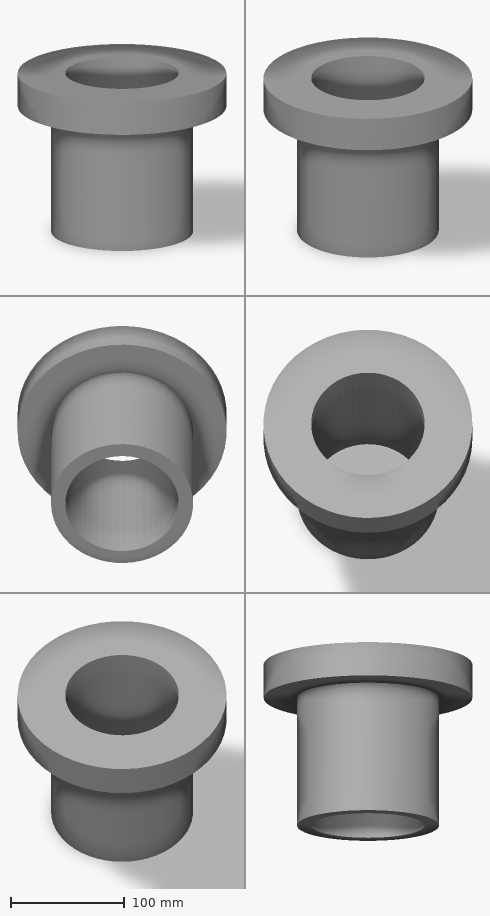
import cadquery as cq

flange_diameter = 184.0
flange_thickness = 30.0
sleeve_diameter = 125.1
bore_diameter = 100.0
total_height = 145.0

sleeve_length = total_height - flange_thickness

sleeve = cq.Workplane("XY").circle(sleeve_diameter / 2).extrude(sleeve_length)

flange = (
    cq.Workplane("XY")
    .workplane(offset=sleeve_length)
    .circle(flange_diameter / 2)
    .extrude(flange_thickness)
)

bore = cq.Workplane("XY").circle(bore_diameter / 2).extrude(total_height)

result = sleeve.union(flange).cut(bore)